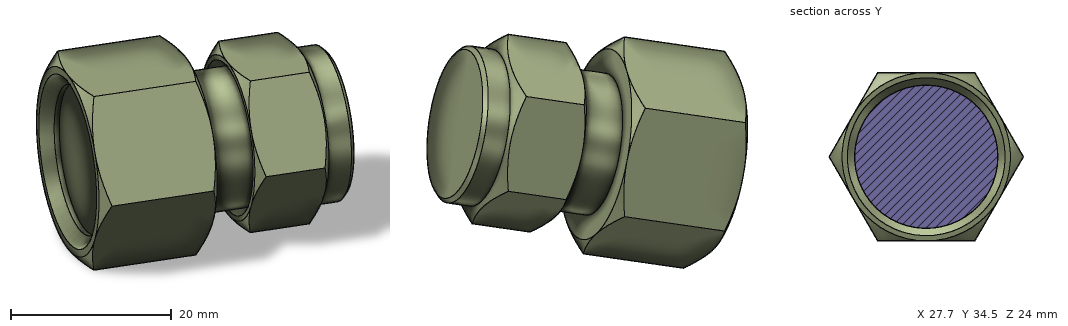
import cadquery as cq
import math

total_length = 34.5
large_hex_end = 15.55
small_hex_start = 21.05
small_hex_end = 31.0

large_hex_flats = 24.0
small_hex_flats = 20.98
neck_diameter = 17.87
collar_diameter = 19.8
collar_chamfer = 0.52

recess_mouth_diameter = 22.1
recess_floor_diameter = 19.1
countersink_depth = (recess_mouth_diameter - recess_floor_diameter) / 2
recess_depth = 2.17

nut_mouth_diameter = 19.65
nut_mouth_depth = (nut_mouth_diameter - neck_diameter) / 2

corner_chamfer_angle = 30.0


def revolve_about_y(points):
    """Revolve a closed (radius, y) outline about the Y axis."""
    return cq.Workplane("XY").polyline(points).close().revolve(360, (0, 0), (0, 1))


def cylinder(diameter, start, end):
    radius = diameter / 2
    return revolve_about_y([(0, start), (radius, start), (radius, end), (0, end)])


def hex_nut(flats, start, end, start_face_diameter, end_face_diameter):
    """Hexagon with corners on X, its ends coned down to the given face diameters."""
    corner_diameter = flats / math.cos(math.radians(30))
    corner_radius = corner_diameter / 2
    prism = (
        cq.Workplane("XZ", origin=(0, start, 0))
        .polygon(6, corner_diameter)
        .extrude(start - end)
    )
    slope = math.tan(math.radians(corner_chamfer_angle))
    start_drop = (corner_radius - start_face_diameter / 2) * slope
    end_drop = (corner_radius - end_face_diameter / 2) * slope
    envelope = revolve_about_y([
        (0, start),
        (start_face_diameter / 2, start),
        (corner_radius, start + start_drop),
        (corner_radius, end - end_drop),
        (end_face_diameter / 2, end),
        (0, end),
    ])
    return prism.intersect(envelope)


def end_recess():
    mouth_radius = recess_mouth_diameter / 2
    floor_radius = recess_floor_diameter / 2
    return revolve_about_y([
        (0, 0),
        (mouth_radius, 0),
        (floor_radius, countersink_depth),
        (floor_radius, recess_depth),
        (0, recess_depth),
    ])


def nut_mouth():
    mouth_end = small_hex_start + nut_mouth_depth
    return revolve_about_y([
        (0, small_hex_start),
        (nut_mouth_diameter / 2, small_hex_start),
        (neck_diameter / 2, mouth_end),
        (0, mouth_end),
    ])


large_nut = hex_nut(large_hex_flats, 0, large_hex_end, large_hex_flats, large_hex_flats)
small_nut = hex_nut(
    small_hex_flats, small_hex_start, small_hex_end, small_hex_flats, collar_diameter
)
small_nut = small_nut.cut(nut_mouth())
neck = cylinder(neck_diameter, large_hex_end, small_hex_start + nut_mouth_depth)
collar = cylinder(collar_diameter, small_hex_end, total_length).faces(">Y").chamfer(collar_chamfer)

result = large_nut.union(neck).union(small_nut).union(collar).cut(end_recess())